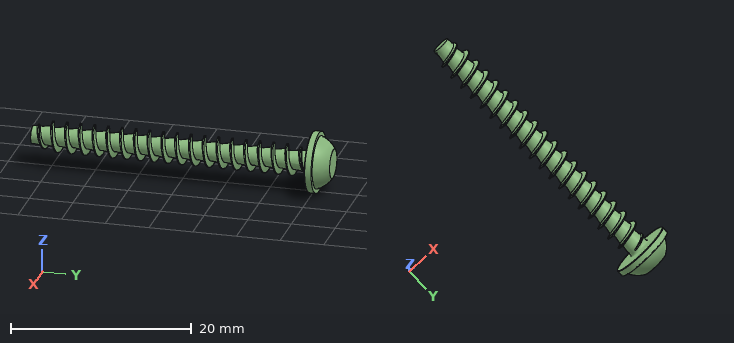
import cadquery as cq
import math


total_length = 34.4
head_height = 2.45
flange_diameter = 7.0
flange_thickness = 0.8
flange_edge_chamfer = 0.07
dome_base_radius = 3.0
dome_top_radius = 1.65

shank_length = total_length - head_height
neck_radius = 1.2
neck_fillet = 0.25
neck_length = 0.83
neck_taper_length = 1.25
core_radius = 1.03

full_length = 27.6
full_turns = 17.5
pitch = full_length / full_turns
fade_turns = 1.4
full_end_depth = 2.05
full_end_angle = 90.0

crest_radius = 1.75
crest_width = 0.15
half_root = 0.25
ramp_radius = 1.2
ramp_foot_radius = core_radius - 0.05
buried_radius = core_radius - 0.17
turn_gap = 0.05

faded_crest_radius = core_radius - 0.017
faded_ramp_radius = core_radius - 0.05
faded_ramp_foot_radius = core_radius - 0.07

origin = cq.Vector(0, 0, 0)
screw_axis = cq.Vector(0, 0, 1)


def dome_mid_point():
    """Point halfway round the dome arc, whose centre lies on the screw axis."""
    rise = head_height - flange_thickness
    centre_below_base = (dome_base_radius**2 - dome_top_radius**2 - rise**2) / (2 * rise)
    dome_radius = math.hypot(dome_base_radius, centre_below_base)
    base_angle = math.atan2(centre_below_base, dome_base_radius)
    top_angle = math.atan2(centre_below_base + rise, dome_top_radius)
    mid_angle = (base_angle + top_angle) / 2
    centre_height = flange_thickness - centre_below_base
    return (dome_radius * math.cos(mid_angle), centre_height + dome_radius * math.sin(mid_angle))


def make_blank():
    """Head and threadless shank turned about the Z axis, head up."""
    flange_radius = flange_diameter / 2
    fillet_mid = neck_fillet * (1 - math.sqrt(0.5))
    outline = (
        cq.Workplane("XZ")
        .moveTo(0, head_height)
        .lineTo(dome_top_radius, head_height)
        .threePointArc(dome_mid_point(), (dome_base_radius, flange_thickness))
        .lineTo(flange_radius, flange_thickness)
        .lineTo(flange_radius, flange_edge_chamfer)
        .lineTo(flange_radius - flange_edge_chamfer, 0)
        .lineTo(neck_radius + neck_fillet, 0)
        .threePointArc((neck_radius + fillet_mid, -fillet_mid), (neck_radius, -neck_fillet))
        .lineTo(neck_radius, -neck_length)
        .lineTo(core_radius, -neck_length - neck_taper_length)
        .lineTo(core_radius, -shank_length)
        .lineTo(0, -shank_length)
        .close()
    )
    return outline.revolve(360, (0, 0), (0, 1)).val()


def helix_edge(radius_from, radius_to, first_turn, turns, height):
    """Right-handed helix whose radius changes evenly; turns count up from the foot of the thread."""
    cone_angle = math.atan2(radius_to - radius_from, turns * pitch)
    if cone_angle == 0:
        helix = cq.Wire.makeHelix(pitch, turns * pitch, radius_from)
    else:
        slant_pitch = pitch / math.cos(cone_angle)
        slant_height = turns * slant_pitch
        helix = cq.Wire.makeHelix(slant_pitch, slant_height, radius_from, angle=math.degrees(cone_angle))
    turned = helix.Edges()[0].rotate(origin, screw_axis, 360 * first_turn)
    return turned.translate(screw_axis * (first_turn * pitch + height))


def end_face(points):
    """Flat face closing one end of the thread."""
    return cq.Face.makeFromWires(cq.Wire.makePolygon(points, close=True))


def make_thread():
    """Tooth with a ramp on its tip side, fading out at both ends of the thread."""
    half_crest = crest_width / 2
    ramp_foot_height = half_root + turn_gap - pitch
    corners = [
        (half_root, buried_radius, buried_radius),
        (half_crest, crest_radius, faded_crest_radius),
        (-half_crest, crest_radius, faded_crest_radius),
        (-half_root, ramp_radius, faded_ramp_radius),
        (ramp_foot_height, ramp_foot_radius, faded_ramp_foot_radius),
        (ramp_foot_height, buried_radius, buried_radius),
    ]
    top_of_full = fade_turns + full_turns
    stretches = [
        (0, fade_turns, False, True),
        (fade_turns, full_turns, True, True),
        (top_of_full, fade_turns, True, False),
    ]
    faces = []
    for first_turn, turns, full_below, full_above in stretches:
        edges = []
        for height, full_radius, faded_radius in corners:
            radius_from = full_radius if full_below else faded_radius
            radius_to = full_radius if full_above else faded_radius
            edges.append(helix_edge(radius_from, radius_to, first_turn, turns, height))
        for edge, next_edge in zip(edges, edges[1:] + edges[:1]):
            faces.append(cq.Face.makeRuledSurface(edge, next_edge))
        if not full_below:
            faces.append(end_face([edge.startPoint() for edge in edges]))
        if not full_above:
            faces.append(end_face([edge.endPoint() for edge in edges]))
    thread = cq.Solid.makeSolid(cq.Shell.makeShell(faces))
    turned = thread.rotate(origin, screw_axis, full_end_angle - 360 * top_of_full)
    return turned.translate(screw_axis * (-full_end_depth - top_of_full * pitch))


blank = make_blank()
beyond_tip = cq.Workplane().workplane(offset=-shank_length).circle(crest_radius).extrude(-pitch)
thread = cq.Workplane(make_thread()).cut(beyond_tip)
upright = cq.Workplane(blank).union(thread)
result = upright.solids().rotate((0, 0, 0), (1, 0, 0), -90)